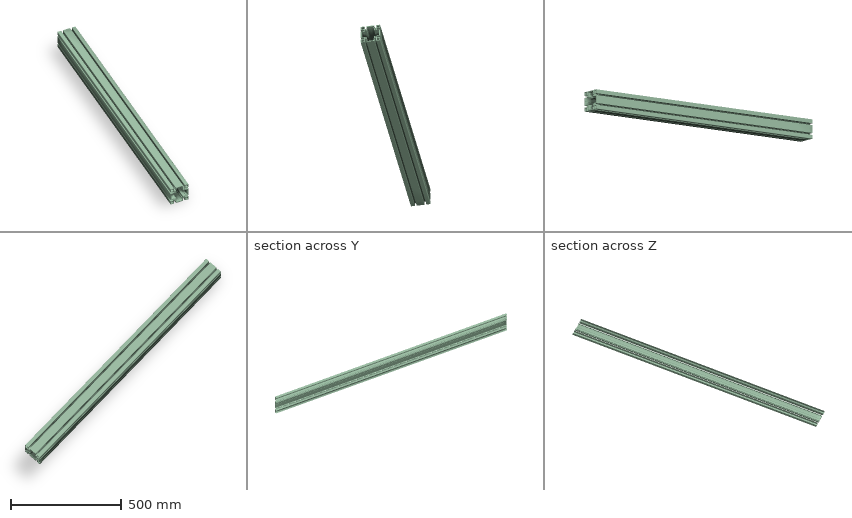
import cadquery as cq

LENGTH = 1219.0
SIDE = 90.0

TUBE_SIDE = 18.0
TUBE_WALL = 3.0
TUBE_CORNER_RADIUS = 1.8

SLOT_WIDTH = 9.0
CORE_OVERLAP = 0.6
SLOT_WALL = 1.0
LIP_RADIUS = 0.6

RIDGE_START = 9.0
RIDGE_LENGTH = 6.0
RIDGE_HEIGHT = 2.0
CLIP_GROOVE_DEPTH = 1.8
CLIP_GROOVE_MARGIN = 1.0

PANEL_WALL = 4.3
V_GROOVE_WIDTH = 2.0
V_GROOVE_DEPTH = 0.6

CORE_BORE = 7.0
NECK_INTO_TUBE = 4.0
NECK_INTO_CORE = 3.0

OUTER = SIDE / 2
TUBE_EDGE = OUTER - TUBE_SIDE
PANEL_EDGE = TUBE_EDGE - SLOT_WIDTH
CAVITY_EDGE = PANEL_EDGE - SLOT_WALL
SLOT_FLOOR = TUBE_EDGE + CORE_OVERLAP
PANEL_INNER = OUTER - PANEL_WALL


def extrude_along_x(sketch):
    """Full-length bar of a section drawn in YZ, centred on the origin."""
    return sketch.extrude(LENGTH / 2, both=True)


def bar(y_min, y_max, z_min, z_max):
    """Full-length bar with a rectangular section."""
    centre = ((y_min + y_max) / 2, (z_min + z_max) / 2)
    return extrude_along_x(cq.Workplane("YZ").center(*centre).rect(y_max - y_min, z_max - z_min))


def square_bar(start, end):
    """Full-length bar with a square section on the +Y +Z diagonal."""
    return bar(start, end, start, end)


def tube_blank():
    """Corner block before its square hole, rounded at the outer corner and slot lips."""
    block = square_bar(TUBE_EDGE, OUTER)
    block = block.edges("|X and >Y and >Z").fillet(TUBE_CORNER_RADIUS)
    return block.edges("|X").edges("(>Y and <Z) or (<Y and >Z)").fillet(LIP_RADIUS)


def corner():
    """Corner tube, its neck and the bored core at the cavity corner."""
    core = square_bar(CAVITY_EDGE, SLOT_FLOOR)
    core_middle = (CAVITY_EDGE + SLOT_FLOOR) / 2
    bore = extrude_along_x(cq.Workplane("YZ").center(core_middle, core_middle).circle(CORE_BORE / 2))
    neck = square_bar(TUBE_EDGE - NECK_INTO_CORE, TUBE_EDGE + NECK_INTO_TUBE)
    tube_hole = square_bar(TUBE_EDGE + TUBE_WALL, OUTER - TUBE_WALL)
    return tube_blank().union(core).union(neck).cut(bore).cut(tube_hole)


def slot_wall():
    """Wall beside the slot in the top side, with its ridge and clip groove."""
    ridge_top = OUTER - RIDGE_START
    ridge_bottom = ridge_top - RIDGE_LENGTH
    wall = bar(CAVITY_EDGE, PANEL_EDGE, SLOT_FLOOR, OUTER)
    ridge = bar(CAVITY_EDGE - RIDGE_HEIGHT, CAVITY_EDGE, ridge_bottom, ridge_top)
    clip_groove = bar(
        PANEL_EDGE - CLIP_GROOVE_DEPTH,
        PANEL_EDGE,
        ridge_bottom + CLIP_GROOVE_MARGIN,
        ridge_top - CLIP_GROOVE_MARGIN,
    )
    wall = wall.edges("|X and >Y and >Z").fillet(LIP_RADIUS)
    return wall.union(ridge).cut(clip_groove)


def top_panel():
    """Middle panel of the top side, with both slot walls and the V-groove."""
    panel = bar(-CAVITY_EDGE, CAVITY_EDGE, PANEL_INNER, OUTER)
    v_groove = extrude_along_x(
        cq.Workplane("YZ")
        .moveTo(-V_GROOVE_WIDTH / 2, PANEL_INNER)
        .lineTo(V_GROOVE_WIDTH / 2, PANEL_INNER)
        .lineTo(0, PANEL_INNER + V_GROOVE_DEPTH)
        .close()
    )
    wall = slot_wall()
    return panel.cut(v_groove).union(wall).union(wall.mirror("XZ"))


def repeat_on_four_sides(body):
    """The body and its three quarter turns about the long axis, joined."""
    joined = body
    for turn in range(1, 4):
        joined = joined.union(body.rotate((0, 0, 0), (1, 0, 0), 90 * turn))
    return joined


result = repeat_on_four_sides(corner().union(top_panel())).clean()